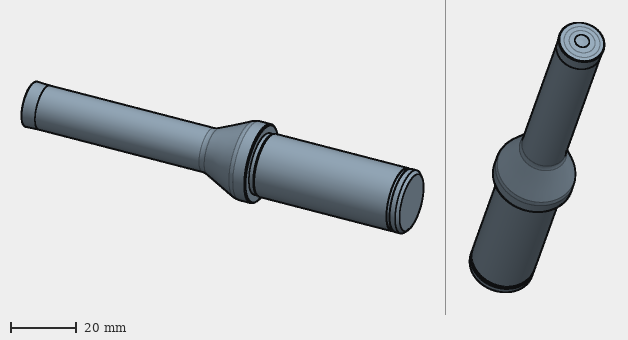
import cadquery as cq

total_length = 128.0
head_length = 5.1
cone_start = 60.9
cone_end = 73.0
collar_end = 78.0
relief_end = 79.4
relief_ramp = 0.5
groove_start = 124.0
groove_width = 1.0

head_front_diameter = 14.3
neck_diameter = 14.0
collar_diameter = 25.0
shank_diameter = 20.0
relief_diameter = 19.5

cone_root_fillet = 4.6
cone_crest_fillet = 3.5
collar_chamfer = 0.4
shank_chamfer = 1.0

crown_outer_diameter = 11.1
crown_inner_diameter = 8.0
dimple_diameter = 4.5
dimple_depth = 0.6
crown_inner_x = 0.3
crown_outer_x = 0.45
head_face_x = 0.5
head_chamfer = 0.3


def revolve_about_x(profile):
    """Revolve a closed (X, radius) outline about the X axis."""
    return cq.Workplane("XY").polyline(profile).close().revolve(360, (0, 0, 0), (1, 0, 0))


def make_head():
    """Back-tapered tip with a chamfered rim, crowned face and central dimple."""
    front_radius = head_front_diameter / 2
    return revolve_about_x([
        (dimple_depth, 0),
        (0, dimple_diameter / 2),
        (crown_inner_x, crown_inner_diameter / 2),
        (crown_outer_x, crown_outer_diameter / 2),
        (head_face_x, front_radius - head_chamfer),
        (head_face_x + head_chamfer, front_radius),
        (head_length, neck_diameter / 2),
        (head_length, 0),
    ])


def make_holder():
    """Slim neck, conical collar and grooved shank, turned as one piece."""
    neck_radius = neck_diameter / 2
    collar_radius = collar_diameter / 2
    shank_radius = shank_diameter / 2
    relief_radius = relief_diameter / 2
    groove_end = groove_start + groove_width
    holder = revolve_about_x([
        (head_length, 0),
        (head_length, neck_radius),
        (cone_start, neck_radius),
        (cone_end, collar_radius),
        (collar_end - collar_chamfer, collar_radius),
        (collar_end, collar_radius - collar_chamfer),
        (collar_end, relief_radius),
        (relief_end, relief_radius),
        (relief_end + relief_ramp, shank_radius),
        (groove_start, shank_radius),
        (groove_start, relief_radius),
        (groove_end, relief_radius),
        (groove_end, shank_radius),
        (total_length - shank_chamfer, shank_radius),
        (total_length, shank_radius - shank_chamfer),
        (total_length, 0),
    ])
    for edge_x, radius in ((cone_start, cone_root_fillet), (cone_end, cone_crest_fillet)):
        corner = cq.selectors.NearestToPointSelector((edge_x, 0, 0))
        holder = holder.edges("%CIRCLE").edges(corner).fillet(radius)
    return holder


head = make_head()
holder = make_holder()

result = cq.Compound.makeCompound([head.val(), holder.val()])